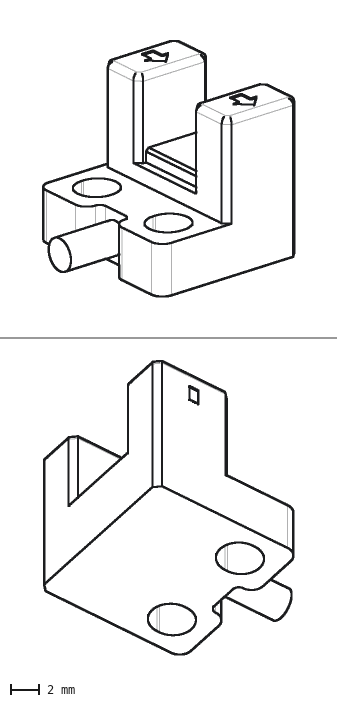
import cadquery as cq
import math

width = 13.7
total_depth = 15.9
height = 12.0
base_depth = 12.4
base_height = 4.0
tower_depth = 6.5

arm_width = 3.85
gap_width = width - 2 * arm_width
gap_floor = 5.3
arm_corner_chamfer = 0.5
arm_top_fillet = 0.48

pad_top = 6.36
pad_inset = 0.75
pad_chamfer = 0.24

base_corner_radius = 1.0
notch_inner_radius = 0.5
notch_half_width = 1.6
hole_width = 3.2
hole_length = 3.4
hole_spacing = 8.0
hole_y = -9.37

cable_diameter = 2.5
cable_z = base_height / 2

recess_depth = 0.1
window_width = 0.8
window_height = 1.25
window_y = -3.26
window_z = 10.0
arrow_length = 2.04
arrow_head_length = 1.02
arrow_head_width = 2.08
arrow_shaft_width = 1.02
arrow_tip_offset = 1.0
arrow_y = -3.26

notch_floor_y = -base_depth + base_corner_radius + notch_inner_radius
arm_offset = (width - arm_width) / 2


def make_base():
    """Plate with rounded front corners and an S-sided cable notch."""
    half = width / 2
    front = -base_depth
    shoulder = front + base_corner_radius
    diagonal = 1 - math.sqrt(0.5)
    outer_bulge = base_corner_radius * diagonal
    inner_bulge = notch_inner_radius * diagonal
    lip = notch_half_width + base_corner_radius
    floor_half = notch_half_width - notch_inner_radius
    half_plate = (
        cq.Workplane("XY")
        .moveTo(0, -tower_depth / 2)
        .lineTo(half, -tower_depth / 2)
        .lineTo(half, shoulder)
        .threePointArc(
            (half - outer_bulge, front + outer_bulge),
            (half - base_corner_radius, front),
        )
        .lineTo(lip, front)
        .threePointArc(
            (notch_half_width + outer_bulge, front + outer_bulge),
            (notch_half_width, shoulder),
        )
        .threePointArc(
            (notch_half_width - inner_bulge, notch_floor_y - inner_bulge),
            (floor_half, notch_floor_y),
        )
        .lineTo(0, notch_floor_y)
        .close()
        .extrude(base_height)
    )
    return half_plate.union(half_plate.mirror("YZ"))


def box(size_x, depth, bottom, top):
    """Box centred in X, reaching forward from the back face."""
    return (
        cq.Workplane("XY", origin=(0, -depth / 2, bottom))
        .rect(size_x, depth)
        .extrude(top - bottom)
    )


def make_arm(side):
    """Arm with chamfered corners and a rounded top rim."""
    arm = box(arm_width, tower_depth, gap_floor, height)
    arm = arm.edges("|Z").chamfer(arm_corner_chamfer)
    arm = arm.faces(">Z").edges().fillet(arm_top_fillet)
    return arm.translate((side * arm_offset, 0, 0))


def make_tower_foot():
    """Block below the arms; its front corners are sharp only at the base plate."""
    lower = box(width, tower_depth, 0, base_height)
    lower = lower.edges("|Z and >Y").chamfer(arm_corner_chamfer)
    upper = box(width, tower_depth, base_height, gap_floor)
    upper = upper.edges("|Z").chamfer(arm_corner_chamfer)
    return lower.union(upper)


def make_pad():
    pad_depth = tower_depth - 2 * pad_inset
    pad = box(gap_width + arm_width, pad_depth, gap_floor, pad_top)
    pad = pad.edges("|X and >Z").chamfer(pad_chamfer)
    return pad.translate((0, -pad_inset, 0))


def make_cable():
    return (
        cq.Workplane("XZ", origin=(0, notch_floor_y, cable_z))
        .circle(cable_diameter / 2)
        .extrude(total_depth + notch_floor_y)
    )


def make_mounting_holes():
    return (
        cq.Workplane("XY")
        .pushPoints([(-hole_spacing / 2, hole_y), (hole_spacing / 2, hole_y)])
        .slot2D(hole_length, hole_width, 90)
        .extrude(base_height)
    )


def make_arrow(side):
    """Shallow arrow pocket pointing along +X."""
    tip = side * arm_offset + arrow_tip_offset
    neck = tip - arrow_head_length
    tail = tip - arrow_length
    shaft = arrow_shaft_width / 2
    head = arrow_head_width / 2
    return (
        cq.Workplane("XY", origin=(0, arrow_y, height - recess_depth))
        .polyline([
            (tail, -shaft), (neck, -shaft), (neck, -head), (tip, 0),
            (neck, head), (neck, shaft), (tail, shaft),
        ])
        .close()
        .extrude(recess_depth)
    )


def make_window():
    return (
        cq.Workplane("YZ", origin=(-width / 2, window_y, window_z))
        .rect(window_width, window_height)
        .extrude(recess_depth)
    )


result = make_base().union(make_tower_foot()).union(make_pad()).union(make_cable())
for arm_side in (-1, 1):
    result = result.union(make_arm(arm_side))
result = result.clean().cut(make_mounting_holes()).cut(make_window())
for arm_side in (-1, 1):
    result = result.cut(make_arrow(arm_side))